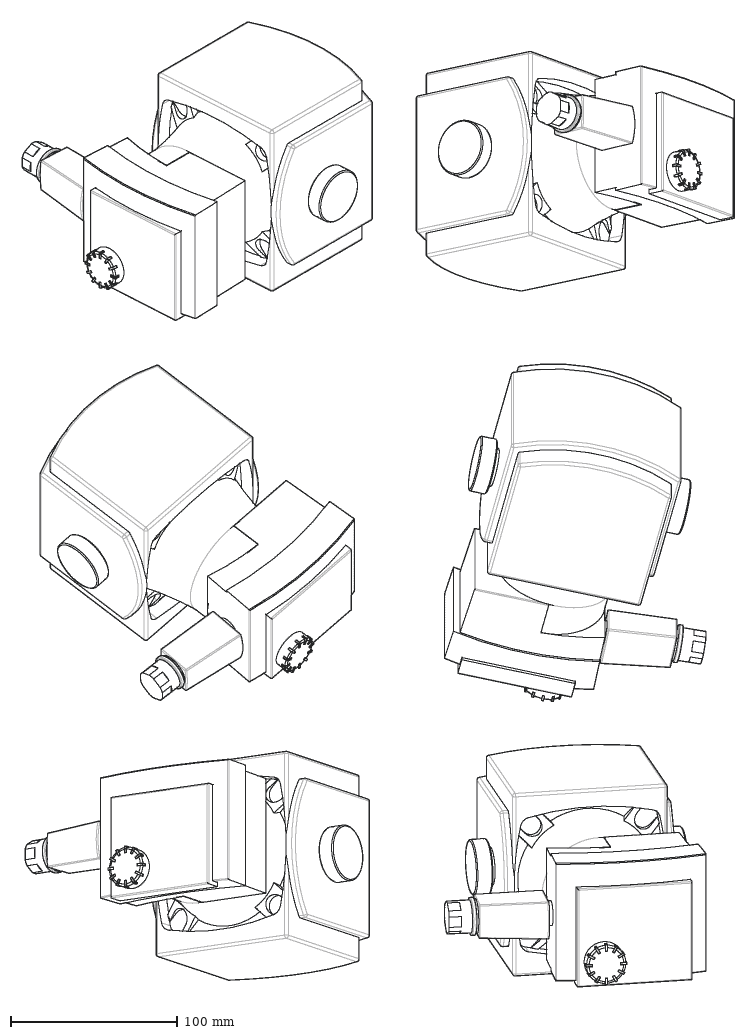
import cadquery as cq
import math


tall_half_width = 47.5
tall_half_height = 57.54
wide_half_width = 52.5
wide_half_height = 42.8
shell_front_y = -40.2
wide_back_y = 54.5
back_setback = 5.4
wide_back_radius = 122.3
wide_front_radius = 74.1
wide_corner_radius = 2.2
shell_edge_radius = 1.7

pocket_floor_y = -30.5
pocket_corner = (41.9, 41.3)
pocket_mid_half_width = 46.7
pocket_mid_half_height = 46.7
pocket_corner_radius = 6.5
pocket_overcut = 1.9

stub_shell_diameter = 23.0
stub_flange_diameter = 26.0
flange_diameter = 33.7
flange_outer_x = 64.9
flange_thickness = 10.2
flange_edge = 0.7

motor_diameter = 70.0
neck_end_y = -65.0
neck_mid_y = -40.0
neck_mid_radius = 39.8
neck_base_radius = 42.6
lug_count = 4
lug_width = 19.3
lug_slope = 18.0
lug_inner_radius = 37.0
lug_foot_radius = 55.5
lug_slot_width = 11.9
lug_slot_end_radius = 42.6

box_center_x = 9.0
box_bow_radius = 222.4
box_edge_radius = 0.5
box_left_back = (-35.0, -79.3)
box_left_front_x = -37.0
base_half_height = 35.3
base_step_x = 3.0
base_step_bow_radius = 163.0
base_step_mid_y = -85.5
base_right_back_x = 49.0
base_right_front_x = 50.5
base_root_mid_y = -111.2
front_half_height = 37.0
front_back_mid_y = -100.5
front_mid_y = -120.6
front_right_back_x = 54.5
front_right_front_x = 55.2

panel_left_x = -25.0
panel_right_x = 45.2
panel_top_z = 22.2
panel_bottom_z = -39.7
panel_back_y = -112.5
panel_front_y = -122.7
panel_edge_radius = 0.7

knob_x = -9.0
knob_z = -23.9
knob_diameter = 24.0
knob_face_diameter = 21.3
knob_face_y = -130.5
knob_face_edge_length = 0.7
knob_rib_count = 12
knob_rib_width = 1.3
knob_rib_inner_diameter = 17.0
knob_rib_outer_diameter = 25.0
knob_rib_back_y = -127.5
knob_rib_front_y = -130.8

plug_origin = (-35.8, -97.5, 0)
plug_lean = 3.0
neck_diameter = 15.0
neck_overlap = 1.9
plug_inner_s = 3.7
plug_outer_s = 45.8
plug_edge_radius = 0.7
gland_offset = 1.0
collar_diameter = 21.3
collar_length = 1.1
ring_diameter = 23.0
ring_length = 2.6
ring_edge_radius = 0.5
nut_diameter = 20.0
nut_end_s = 63.5
nut_flat_count = 6
nut_flat_width = 6.5
nut_flat_length = 7.5

plug_inner_section = (11.7, 9.8, -14.6, -16.7)
plug_outer_section = (10.5, 11.7, -10.4, -11.0)

plug_angle = math.radians(plug_lean)
plug_axis = (-math.cos(plug_angle), math.sin(plug_angle), 0)
plug_back = (math.sin(plug_angle), math.cos(plug_angle), 0)
ring_start_s = plug_outer_s + collar_length
nut_start_s = ring_start_s + ring_length


def bow_y(x, mid_y, radius):
    """Y of an arc that is lowest at the box center line."""
    return mid_y + radius - math.sqrt(radius**2 - (x - box_center_x) ** 2)


def bow_point(x, mid_y, radius):
    return (x, bow_y(x, mid_y, radius))


def bowed_back_block(half_width, half_height, front_y, back_y, back_radius):
    corner_y = back_y - back_radius + math.sqrt(back_radius**2 - half_width**2)
    return (
        cq.Workplane("XY")
        .workplane(offset=-half_height)
        .moveTo(-half_width, front_y)
        .lineTo(half_width, front_y)
        .lineTo(half_width, corner_y)
        .threePointArc((0, back_y), (-half_width, corner_y))
        .close()
        .extrude(2 * half_height)
    )


def tall_block():
    back_y = wide_back_y - back_setback
    back_radius = wide_back_radius - back_setback
    block = bowed_back_block(tall_half_width, tall_half_height, shell_front_y, back_y, back_radius)
    return block.edges().fillet(shell_edge_radius)


def wide_block():
    block = bowed_back_block(
        wide_half_width, wide_half_height, shell_front_y, wide_back_y, wide_back_radius
    )
    rise = wide_front_radius - math.sqrt(wide_front_radius**2 - wide_half_height**2)
    side_outline = (
        cq.Workplane("YZ")
        .workplane(offset=-wide_half_width)
        .moveTo(wide_back_y, -wide_half_height)
        .lineTo(shell_front_y + rise, -wide_half_height)
        .threePointArc((shell_front_y, 0), (shell_front_y + rise, wide_half_height))
        .lineTo(wide_back_y, wide_half_height)
        .close()
        .extrude(2 * wide_half_width)
        .edges("|X and (not >Y)")
        .fillet(wide_corner_radius)
    )
    return block.intersect(side_outline).edges().fillet(shell_edge_radius)


def pocket_solid():
    x, z = pocket_corner
    return (
        cq.Workplane("XZ", origin=(0, pocket_floor_y, 0))
        .moveTo(-x, -z)
        .threePointArc((0, -pocket_mid_half_height), (x, -z))
        .threePointArc((pocket_mid_half_width, 0), (x, z))
        .threePointArc((0, pocket_mid_half_height), (-x, z))
        .threePointArc((-pocket_mid_half_width, 0), (-x, -z))
        .close()
        .extrude(pocket_floor_y - shell_front_y + pocket_overcut)
        .edges("|Y")
        .fillet(pocket_corner_radius)
    )


def make_shell():
    return tall_block().union(wide_block()).cut(pocket_solid())


def make_flange(side):
    """Disc and stub on the +X side (side = 1) or the -X side (side = -1)."""
    flange_inner_x = flange_outer_x - flange_thickness
    flange = (
        cq.Workplane("YZ", origin=(flange_inner_x, 0, 0))
        .circle(flange_diameter / 2)
        .extrude(flange_thickness)
        .edges()
        .chamfer(flange_edge)
    )
    stub = (
        cq.Workplane("XY")
        .moveTo(wide_half_width, 0)
        .lineTo(wide_half_width, stub_shell_diameter / 2)
        .lineTo(flange_inner_x, stub_flange_diameter / 2)
        .lineTo(flange_inner_x, 0)
        .close()
        .revolve(360, (0, 0, 0), (1, 0, 0))
    )
    flange = flange.union(stub)
    return flange if side > 0 else flange.mirror("YZ")


def motor_lugs():
    """Four diagonal lugs that slope outward to the pocket floor, each with an open slot."""
    height = (lug_foot_radius - lug_inner_radius) * math.tan(math.radians(lug_slope))
    wedge = (
        cq.Workplane("XY")
        .moveTo(lug_inner_radius, pocket_floor_y)
        .lineTo(lug_foot_radius, pocket_floor_y)
        .lineTo(lug_inner_radius, pocket_floor_y - height)
        .close()
        .extrude(lug_width / 2, both=True)
    )
    face = cq.Workplane("XZ", origin=(0, pocket_floor_y, 0))
    slot_center = lug_slot_end_radius + lug_slot_width / 2
    slot = face.center((slot_center + lug_foot_radius) / 2, 0)
    slot = slot.rect(lug_foot_radius - slot_center, lug_slot_width).extrude(height)
    slot_end = face.center(slot_center, 0).circle(lug_slot_width / 2).extrude(height)
    lug = wedge.cut(slot).cut(slot_end)
    lugs = cq.Workplane("XY")
    spacing = 360 / lug_count
    for index in range(lug_count):
        lugs = lugs.union(lug.rotate((0, 0, 0), (0, 1, 0), spacing * (index + 0.5)))
    return lugs.intersect(pocket_solid())


def make_motor(control_box):
    motor_radius = motor_diameter / 2
    core = (
        cq.Workplane("XY")
        .moveTo(0, pocket_floor_y)
        .lineTo(neck_base_radius, pocket_floor_y)
        .threePointArc((neck_mid_radius, neck_mid_y), (motor_radius, neck_end_y))
        .lineTo(motor_radius, base_step_mid_y)
        .lineTo(0, base_step_mid_y)
        .close()
        .revolve(360, (0, 0, 0), (0, 1, 0))
    )
    return core.union(motor_lugs()).cut(control_box)


def box_left_point(mid_y):
    """Point where a bow crosses the slanted left wall of the box."""
    back_x, back_y = box_left_back
    front_y = bow_y(box_left_front_x, front_mid_y, box_bow_radius)
    y = bow_y(box_left_front_x, mid_y, box_bow_radius)
    x = back_x + (box_left_front_x - back_x) * (y - back_y) / (front_y - back_y)
    return (x, y)


def box_base():
    """Base, with a root that reaches into the front part."""
    left_x, left_y = box_left_back
    step_mid_x = (left_x + base_step_x) / 2
    return (
        cq.Workplane("XY")
        .workplane(offset=-base_half_height)
        .moveTo(base_step_x, neck_end_y)
        .lineTo(base_right_back_x, neck_end_y)
        .lineTo(*bow_point(base_right_front_x, base_root_mid_y, box_bow_radius))
        .lineTo(*box_left_point(base_root_mid_y))
        .lineTo(left_x, left_y)
        .threePointArc(
            bow_point(step_mid_x, base_step_mid_y, base_step_bow_radius),
            bow_point(base_step_x, base_step_mid_y, base_step_bow_radius),
        )
        .close()
        .extrude(2 * base_half_height)
    )


def box_front():
    return (
        cq.Workplane("XY")
        .workplane(offset=-front_half_height)
        .moveTo(*box_left_point(front_back_mid_y))
        .threePointArc(
            (box_center_x, front_back_mid_y),
            bow_point(front_right_back_x, front_back_mid_y, box_bow_radius),
        )
        .lineTo(*bow_point(front_right_front_x, front_mid_y, box_bow_radius))
        .threePointArc((box_center_x, front_mid_y), box_left_point(front_mid_y))
        .close()
        .extrude(2 * front_half_height)
    )


def make_control_box(panel):
    """Base and front part as one solid, rounded around its front and back faces."""
    box = box_base().union(box_front())
    return box.faces("<Y or >Y").edges().fillet(box_edge_radius).cut(panel)


def make_panel():
    width = panel_right_x - panel_left_x
    height = panel_top_z - panel_bottom_z
    corner = (panel_left_x, panel_front_y, panel_bottom_z)
    panel = cq.Workplane("XY", origin=corner).box(
        width, panel_back_y - panel_front_y, height, centered=False
    )
    return panel.faces("<Y").edges().fillet(panel_edge_radius)


def make_knob():
    face_edge = (knob_diameter - knob_face_diameter) / 2
    knob = (
        cq.Workplane("XZ", origin=(knob_x, panel_front_y, knob_z))
        .circle(knob_diameter / 2)
        .extrude(panel_front_y - knob_face_y)
        .faces("<Y")
        .edges()
        .chamfer(knob_face_edge_length, face_edge)
    )
    rib_inner = knob_rib_inner_diameter / 2
    rib_outer = knob_rib_outer_diameter / 2
    rib = (
        cq.Workplane("XZ", origin=(knob_x, knob_rib_back_y, knob_z))
        .center((rib_inner + rib_outer) / 2, 0)
        .rect(rib_outer - rib_inner, knob_rib_width)
        .extrude(knob_rib_back_y - knob_rib_front_y)
    )
    for index in range(knob_rib_count):
        angle = 360 * index / knob_rib_count
        knob = knob.union(rib.rotate((knob_x, 0, knob_z), (knob_x, 1, knob_z), angle))
    return knob


def plug_plane(s, back_shift=0.0):
    """Plane square to the plug axis, at distance s from the box side; its local X points back."""
    plane = cq.Plane(origin=plug_origin, xDir=plug_back, normal=plug_axis)
    return cq.Workplane(cq.Plane(plane.toWorldCoords((back_shift, 0, s)), plug_back, plug_axis))


def plug_wire(s, section):
    half_height, back, front_edge, front_middle = section
    outline = (
        plug_plane(s)
        .moveTo(back, -half_height)
        .lineTo(back, half_height)
        .lineTo(front_edge, half_height)
        .threePointArc((front_middle, 0), (front_edge, -half_height))
        .close()
    )
    return outline.val()


def make_plug(control_box):
    wires = [plug_wire(plug_inner_s, plug_inner_section), plug_wire(plug_outer_s, plug_outer_section)]
    block = cq.Workplane(cq.Solid.makeLoft(wires, True))
    block = block.edges().fillet(plug_edge_radius)
    neck = plug_plane(-neck_overlap).circle(neck_diameter / 2).extrude(plug_inner_s + neck_overlap)
    return block.union(neck).cut(control_box)


def make_gland_ring():
    collar = plug_plane(plug_outer_s, gland_offset).circle(collar_diameter / 2).extrude(collar_length)
    ring = plug_plane(ring_start_s, gland_offset).circle(ring_diameter / 2).extrude(ring_length)
    return collar.union(ring.edges().fillet(ring_edge_radius))


def make_gland_nut():
    radius = nut_diameter / 2
    nut = plug_plane(nut_start_s, gland_offset).circle(radius).extrude(nut_end_s - nut_start_s)
    flat_distance = math.sqrt(radius**2 - (nut_flat_width / 2) ** 2)
    cut_start = plug_plane(nut_end_s - nut_flat_length, gland_offset)
    cutters = (
        cut_start.polarArray(flat_distance + radius / 2, 0, 360, nut_flat_count)
        .rect(radius, nut_flat_width)
        .extrude(nut_flat_length)
    )
    return nut.cut(cutters)


shell = make_shell()
flanges = [make_flange(side) for side in (-1, 1)]
panel = make_panel()
control_box = make_control_box(panel)
motor = make_motor(control_box)
knob = make_knob()
plug = make_plug(control_box)
gland_ring = make_gland_ring()
gland_nut = make_gland_nut()

bodies = [shell, *flanges, motor, control_box, panel, knob, plug, gland_ring, gland_nut]
result = cq.Compound.makeCompound([body.solids().val() for body in bodies])